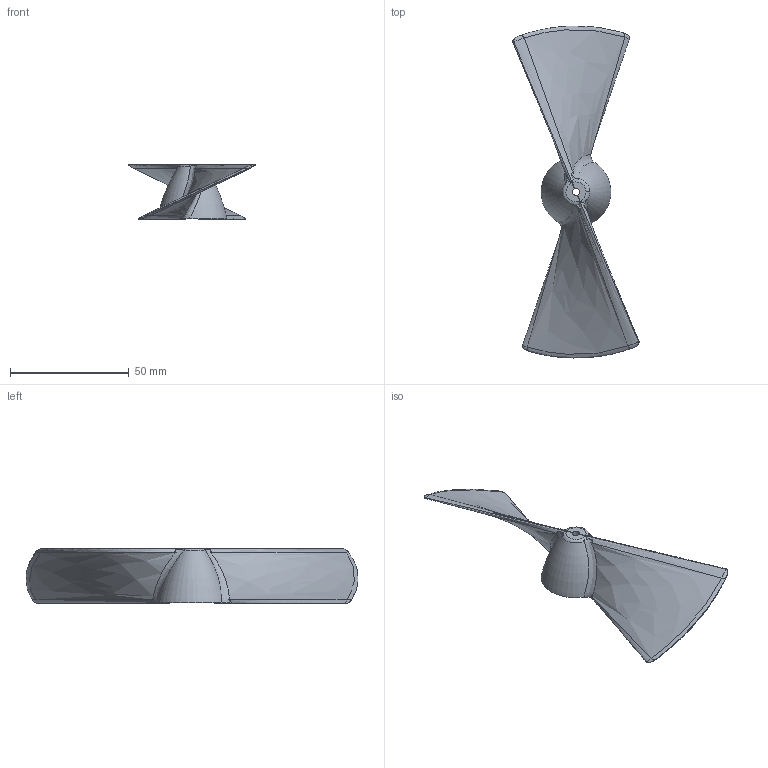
import cadquery as cq
import math

HEIGHT = 23.04
TIP_RADIUS = 69.95

BLADE_THICKNESS = 3.0
EDGE_RADIUS = BLADE_THICKNESS / 2
TOP_ANGLE = 22.55
BOTTOM_ANGLE = -18.9
POINTS_PER_SIDE = 9
POINTS_PER_ROUND = 9
TIP_SECTIONS = 6
TIP_LAND = 0.06

HUB_BOTTOM = 0.3
HUB_BASE_RADIUS = 14.7
HUB_TOP_RADIUS = 5.2
HUB_SIDE_RADIUS = 66.0
RIM_ROUND = 1.8
BORE_DIAMETER = 3.0
SEAT_RADIUS = 10.4

ROOT_FILLET = 3.6
OVERLAP = 0.03
ROOT_SECTIONS = 12
ROOT_TOP = HEIGHT - 0.5


def twisted(across, along, z):
    """Point of the straight bar (across its thickness, along its length) after the twist."""
    angle = math.radians(BOTTOM_ANGLE + (TOP_ANGLE - BOTTOM_ANGLE) * z / HEIGHT)
    x = across * math.cos(angle) - along * math.sin(angle)
    y = across * math.sin(angle) + along * math.cos(angle)
    return cq.Vector(x, y, z)


def steps(start, end, count):
    return [start + (end - start) * i / (count - 1) for i in range(count)]


def blade_edges(along, radius):
    """Outline of the twisted bar at one distance along it: two sides and two round edges."""
    low = EDGE_RADIUS
    high = HEIGHT - EDGE_RADIUS
    right = [(radius, z) for z in steps(low, high, POINTS_PER_SIDE)]
    left = [(-radius, z) for z in steps(high, low, POINTS_PER_SIDE)]

    def quarter_round(height, start):
        angles = steps(start, start + math.pi / 2, POINTS_PER_ROUND)
        return [(radius * math.cos(a), height + radius * math.sin(a)) for a in angles]

    top = [quarter_round(high, 0), quarter_round(high, math.pi / 2)]
    bottom = [quarter_round(low, math.pi), quarter_round(low, 3 * math.pi / 2)]
    edges = []
    for outline in [right, *top, left, *bottom]:
        edges.append(cq.Edge.makeSpline([twisted(u, along, z) for u, z in outline]))
    return edges


def make_blades():
    """Both blades as one solid: a ruled body sewn to a rounded tip at each end."""
    reach = TIP_RADIUS - EDGE_RADIUS
    starts, ends = [blade_edges(side * reach, EDGE_RADIUS) for side in (-1, 1)]
    faces = [cq.Face.makeRuledSurface(start, end) for start, end in zip(starts, ends)]
    last = math.acos(TIP_LAND / BLADE_THICKNESS)
    for side in (-1, 1):
        wires = []
        for a in steps(0, last, TIP_SECTIONS):
            along = side * (reach + EDGE_RADIUS * math.sin(a))
            edges = blade_edges(along, EDGE_RADIUS * math.cos(a))
            wires.append(cq.Wire.assembleEdges(edges))
        faces += cq.Solid.makeLoft(wires, False).Faces()
        faces.append(cq.Face.makeNSidedSurface(wires[-1].Edges(), []))
    return cq.Solid.makeSolid(cq.Shell.makeShell(faces))


def side_arc_center():
    """Radial position and height of the center of the bell's side arc."""
    rise = HEIGHT - HUB_BOTTOM
    run = HUB_BASE_RADIUS - HUB_TOP_RADIUS
    chord = math.hypot(rise, run)
    offset = math.sqrt(HUB_SIDE_RADIUS**2 - (chord / 2) ** 2)
    radial = (HUB_BASE_RADIUS + HUB_TOP_RADIUS) / 2 - offset * rise / chord
    height = (HEIGHT + HUB_BOTTOM) / 2 - offset * run / chord
    return radial, height


def hub_radius(z):
    radial, height = side_arc_center()
    return radial + math.sqrt(HUB_SIDE_RADIUS**2 - (z - height) ** 2)


def make_hub():
    middle = (HEIGHT + HUB_BOTTOM) / 2
    profile = (
        cq.Workplane("XZ")
        .moveTo(0, HUB_BOTTOM)
        .lineTo(HUB_BASE_RADIUS, HUB_BOTTOM)
        .threePointArc((hub_radius(middle), middle), (HUB_TOP_RADIUS, HEIGHT))
        .lineTo(0, HEIGHT)
        .close()
    )
    return profile.revolve(360, (0, 0, 0), (0, 1, 0)).faces(">Z").edges().fillet(RIM_ROUND)


def half_thickness(z):
    """Half thickness of the bar at a height, narrowing in the rounded edges."""
    into_round = max(EDGE_RADIUS - z, z - (HEIGHT - EDGE_RADIUS), 0)
    return math.sqrt(EDGE_RADIUS**2 - into_round**2)


def root_section(z, side):
    """Outline at one height: a fillet arc on each face of the blade, closed inside blade and hub."""
    half = half_thickness(z) - OVERLAP
    radius = hub_radius(z) - OVERLAP
    center_across = half + ROOT_FILLET
    center_along = math.sqrt((radius + ROOT_FILLET) ** 2 - center_across**2)
    hub_angle = math.atan2(center_along, center_across)
    middle_angle = math.pi + hub_angle / 2

    def on_fillet(angle, face):
        across = center_across + ROOT_FILLET * math.cos(angle)
        along = center_along + ROOT_FILLET * math.sin(angle)
        return twisted(face * across, side * along, z)

    angles = (math.pi + hub_angle, middle_angle, math.pi)
    right = [on_fillet(angle, 1) for angle in angles]
    left = [on_fillet(angle, -1) for angle in angles]
    edges = [
        cq.Edge.makeThreePointArc(*right),
        cq.Edge.makeLine(right[2], left[2]),
        cq.Edge.makeThreePointArc(*reversed(left)),
        cq.Edge.makeLine(left[0], right[0]),
    ]
    return cq.Wire.assembleEdges(edges)


def make_root(side):
    wires = [root_section(z, side) for z in steps(HUB_BOTTOM, ROOT_TOP, ROOT_SECTIONS)]
    return cq.Solid.makeLoft(wires, False)


bore = cq.Workplane("XY").circle(BORE_DIAMETER / 2).extrude(2 * HEIGHT, both=True)
seat = cq.Workplane("XY").workplane(offset=HUB_BOTTOM).circle(SEAT_RADIUS).extrude(-EDGE_RADIUS)
result = make_hub().union(cq.Workplane(obj=make_blades()))
for side in (-1, 1):
    result = result.union(cq.Workplane(obj=make_root(side)))
result = result.cut(bore).cut(seat)